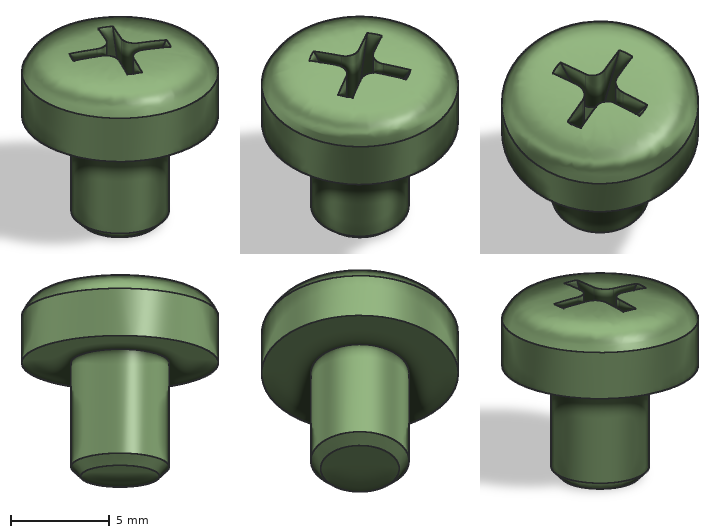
import cadquery as cq
import math

shank_diameter = 5.0
shank_length = 6.0
tip_chamfer = 0.5

head_diameter = 10.0
band_height = 2.5
head_height = 3.79

rim_control = (4.43, 3.56)
crown_control = (4.23, head_height)

arm_width = 0.78
inner_corner_radius = 0.72
recess_top_radius = 2.63
recess_floor_radius = 1.2
recess_wall_angle = 26.5

head_radius = head_diameter / 2
shank_radius = shank_diameter / 2
recess_taper = math.tan(math.radians(recess_wall_angle))
recess_depth = (recess_top_radius - recess_floor_radius) / recess_taper
recess_floor_z = head_height - recess_depth


def revolve_about_z(profile):
    """Full turn of a closed XZ profile about the Z axis."""
    return profile.revolve(360, (0, 0, 0), (0, 1, 0))


def make_body():
    """Head and shank as one revolved profile."""
    profile = (
        cq.Workplane("XZ")
        .moveTo(0, -shank_length)
        .lineTo(shank_radius - tip_chamfer, -shank_length)
        .lineTo(shank_radius, tip_chamfer - shank_length)
        .lineTo(shank_radius, 0)
        .lineTo(head_radius, 0)
        .lineTo(head_radius, band_height)
        .bezier([(head_radius, band_height), rim_control, crown_control, (0, head_height)])
        .close()
    )
    return revolve_about_z(profile)


def make_cross():
    """Upright cross prism with rounded inner corners, reaching past the recess rim."""
    arm_length = 3 * recess_top_radius
    base = cq.Workplane("XY").workplane(offset=recess_floor_z)
    arm_x = base.rect(arm_length, arm_width).extrude(recess_depth)
    arm_y = base.rect(arm_width, arm_length).extrude(recess_depth)
    inner_edges = cq.selectors.BoxSelector(
        (-arm_width, -arm_width, recess_floor_z), (arm_width, arm_width, head_height)
    )
    return arm_x.union(arm_y).edges("|Z").edges(inner_edges).fillet(inner_corner_radius)


def make_recess():
    """Recess cutter: the cross prism trimmed by a cone that gives the sloping arm ends."""
    cone_profile = (
        cq.Workplane("XZ")
        .moveTo(0, recess_floor_z)
        .lineTo(recess_floor_radius, recess_floor_z)
        .lineTo(recess_top_radius, head_height)
        .lineTo(0, head_height)
        .close()
    )
    return make_cross().intersect(revolve_about_z(cone_profile))


result = make_body().cut(make_recess())